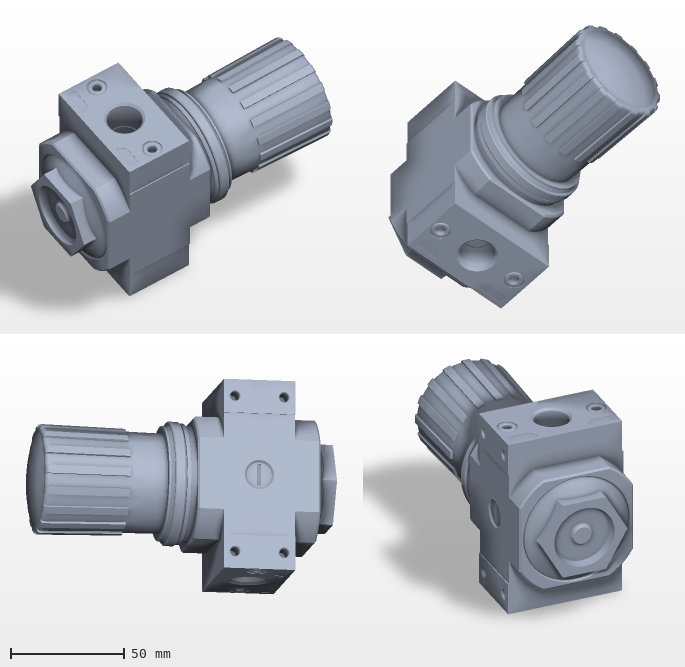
import cadquery as cq
import math


body_width = 55.0
body_half = body_width / 2
band_half = 16.0
corner_radius = math.hypot(body_half, band_half)
end_chamfer = 0.8
port_diameter = 14.95

neck_radius = 25.9
flange_radius = 26.8
flange_start = 30.4
flange_end = 32.1
ring_radius = body_half
ring_start = 32.7
ring_end = 37.4
ring_chamfer = 0.4
cone_base_radius = 26.2
cone_top_radius = 24.8
cone_top = 39.2
lip_radius = 25.5
collar_end = 40.0

cap_radius = 50.16 / 2
cap_seat = -20.0
cap_gap = 0.5
cap_gap_depth = 1.5
cap_mouth_chamfer = 0.4
cap_rim = -26.9
cap_slope = math.radians(30)
cone_overlap = 2.0
hex_flats = 36.0
hex_end = -36.0
hex_start = -28.0
recess_diameter = 29.0
recess_floor_diameter = 26.4
recess_wall = 1.0
recess_fillet = 3.0
pin_base_diameter = 11.45
pin_diameter = 9.6
pin_top_diameter = 8.2

plug_diameter = 11.45
plug_mouth_diameter = 13.16
plug_length = 6.0
plug_slot_width = 1.8
plug_slot_length = 9.6
plug_slot_depth = 1.0

plate_thickness = 15.0
plate_offset = -0.5
plate_top = body_half + plate_thickness
plate_left = plate_offset - body_half
plate_port_diameter = 16.0
plate_port_chamfer = 1.1
side_hole_diameter = 4.13
side_hole_mouth = 5.0
side_hole_depth = 10.0
side_hole_y = 11.0
side_hole_z = 35.0
label_top = -9.1
label_shoulder = -12.0
label_bottom = -13.6
label_inner = 12.5
label_slant = 2.5
label_depth = 0.2
label_fillet = 0.6
label_outer = {-1: 25.6, 1: 24.6}

screw_x = 21.5
screw_head_diameter = 8.5
screw_head_chamfer = 0.5
screw_recess_diameter = 9.2
screw_head_height = 5.0
screw_recess_gap_depth = 0.5
screw_shank_diameter = 6.3
screw_grip = 8.0
socket_mouth_diameter = 5.0
socket_diameter = 4.13
socket_depth = 4.5
socket_tip_depth = 1.2

rib_count = 16
rib_width = 3.7
rib_start = 56.9
rib_start_radius = 23.75
knob_shoulder = 95.2
rib_end_radius = 24.6
grip_end_radius = 23.6
shoulder_fillet = 1.6
knob_neck_radius = 22.1
dome_radius = 20.8
knob_end = 99.0


def revolved(points):
    """Solid of revolution about Y from (radius, y) points that start and end on the axis."""
    return cq.Workplane("XY").polyline(points).close().revolve(360, (0, 0, 0), (0, 1, 0))


def disc(radius, y_from, y_to):
    """Cylinder on the main axis between two Y levels."""
    return revolved([(0, y_from), (radius, y_from), (radius, y_to), (0, y_to)])


def vertical_stack(points, x):
    """Solid of revolution about a vertical line at the given X, from (radius, z) points."""
    return (
        cq.Workplane("XZ")
        .polyline(points)
        .close()
        .revolve(360, (0, 0, 0), (0, 1, 0))
        .translate((x, 0, 0))
    )


def from_left(points, y, z, face_x):
    """Solid of revolution about an X line, from (depth, radius) points counted from face_x."""
    return (
        cq.Workplane("XY")
        .polyline(points)
        .close()
        .revolve(360, (0, 0, 0), (1, 0, 0))
        .translate((face_x, y, z))
    )


def screw_profile(clearance=0.0):
    """Half section of a screw or, with clearance, of the hole that holds it, wider at its rim."""
    head = screw_head_diameter / 2
    shank = screw_shank_diameter / 2
    seat = plate_top - screw_head_height
    tip = body_half - screw_grip
    outline = [(0, tip), (shank, tip), (shank, seat), (head, seat)]
    if clearance:
        ledge = plate_top - screw_recess_gap_depth
        outline += [(head, ledge), (head + clearance, ledge), (head + clearance, plate_top)]
    else:
        chamfer = screw_head_chamfer
        outline += [(head, plate_top - chamfer), (head - chamfer, plate_top)]
    return outline + [(0, plate_top)]


def make_screw_hole(x):
    return vertical_stack(screw_profile((screw_recess_diameter - screw_head_diameter) / 2), x)


def make_screw(x):
    mouth_chamfer = (socket_mouth_diameter - socket_diameter) / 2
    socket_floor = plate_top - socket_depth
    socket = vertical_stack(
        [
            (0, socket_floor - socket_tip_depth),
            (socket_diameter / 2, socket_floor),
            (socket_diameter / 2, plate_top - mouth_chamfer),
            (socket_mouth_diameter / 2, plate_top),
            (0, plate_top),
        ],
        x,
    )
    return vertical_stack(screw_profile(), x).cut(socket)


def mirrored_down(shape):
    return shape.mirror("XY")


def make_plug_solid():
    """Round plug without its slot, sunk to the bottom of the chamfer around it."""
    mouth = (plug_mouth_diameter - plug_diameter) / 2
    radius = plug_diameter / 2
    profile = [(mouth, 0), (mouth, radius), (plug_length, radius), (plug_length, 0)]
    return from_left(profile, 0, 0, -body_half)


def make_plug():
    face_x = -body_half + (plug_mouth_diameter - plug_diameter) / 2
    slot = cq.Workplane("XY").box(2 * plug_slot_depth, plug_slot_width, plug_slot_length)
    return make_plug_solid().cut(slot.translate((face_x, 0, 0)))


def make_plug_mouth():
    """Chamfer that opens the plug hole at the housing face."""
    mouth = (plug_mouth_diameter - plug_diameter) / 2
    profile = [(0, 0), (0, plug_mouth_diameter / 2), (mouth, plug_diameter / 2), (mouth, 0)]
    return from_left(profile, 0, 0, -body_half)


def make_collar():
    return revolved(
        [
            (0, 0),
            (neck_radius, 0),
            (neck_radius, flange_start),
            (flange_radius, flange_start),
            (flange_radius, flange_end),
            (neck_radius, flange_end),
            (neck_radius, ring_start),
            (ring_radius - ring_chamfer, ring_start),
            (ring_radius, ring_start + ring_chamfer),
            (ring_radius, ring_end - ring_chamfer),
            (ring_radius - ring_chamfer, ring_end),
            (cone_base_radius, ring_end),
            (cone_top_radius, cone_top),
            (lip_radius, cone_top),
            (lip_radius, collar_end),
            (0, collar_end),
        ]
    )


def make_cap_blank():
    """Disc, cone and hexagon of the cap, without the details of its end face."""
    cone_end_radius = hex_flats / 2 - cone_overlap
    cone_end = cap_rim - (cap_radius - cone_end_radius) * math.tan(cap_slope)
    dome = revolved(
        [
            (0, cap_seat),
            (cap_radius, cap_seat),
            (cap_radius, cap_rim),
            (cone_end_radius, cone_end),
            (0, cone_end),
        ]
    )
    hexagon = (
        cq.Workplane("XZ")
        .workplane(offset=-hex_start)
        .polygon(6, hex_flats / math.cos(math.pi / 6))
        .extrude(hex_start - hex_end)
    )
    return dome.union(hexagon)


def make_cap():
    wall_radius = recess_diameter / 2
    floor_radius = recess_floor_diameter / 2
    wall_end = hex_end + recess_wall
    arc_center = wall_radius - recess_fillet
    arc_end_angle = math.acos((floor_radius - arc_center) / recess_fillet)
    floor = wall_end + recess_fillet * math.sin(arc_end_angle)
    arc_middle = (
        arc_center + recess_fillet * math.cos(arc_end_angle / 2),
        wall_end + recess_fillet * math.sin(arc_end_angle / 2),
    )

    pin_base_radius = pin_base_diameter / 2
    pin_radius = pin_diameter / 2
    pin_fillet = pin_base_radius - pin_radius
    pin_chamfer = (pin_diameter - pin_top_diameter) / 2
    shoulder = floor - pin_fillet
    pin_top = shoulder - pin_chamfer
    fillet_middle = (
        pin_base_radius - pin_fillet * math.sin(math.pi / 4),
        shoulder + pin_fillet * math.sin(math.pi / 4),
    )
    recess = (
        cq.Workplane("XY")
        .moveTo(0, hex_end)
        .lineTo(wall_radius, hex_end)
        .lineTo(wall_radius, wall_end)
        .threePointArc(arc_middle, (floor_radius, floor))
        .lineTo(pin_base_radius, floor)
        .threePointArc(fillet_middle, (pin_radius, shoulder))
        .lineTo(pin_top_diameter / 2, pin_top)
        .lineTo(0, pin_top)
        .close()
        .revolve(360, (0, 0, 0), (0, 1, 0))
    )
    return make_cap_blank().cut(recess)


def make_housing():
    core = cq.Workplane("XY").box(body_width, body_width, body_width)
    rounding = disc(corner_radius, -body_half, body_half)
    ends = core.faces("<Y or >Y").chamfer(end_chamfer).intersect(
        rounding.faces("<Y or >Y").chamfer(end_chamfer)
    )
    band = cq.Workplane("XY").box(body_width, 2 * band_half, body_width)
    housing = ends.union(band).union(make_collar())

    gap_floor = -body_half + cap_gap_depth
    gap_radius = cap_radius + cap_gap
    cap_recess = revolved(
        [
            (0, cap_seat),
            (cap_radius, cap_seat),
            (cap_radius, gap_floor),
            (gap_radius, gap_floor),
            (gap_radius, -body_half + cap_mouth_chamfer),
            (gap_radius + cap_mouth_chamfer, -body_half),
            (0, -body_half),
        ]
    )
    port = cq.Workplane("XY").circle(port_diameter / 2).extrude(body_half, both=True)
    housing = housing.cut(cap_recess).cut(port).cut(make_plug_solid()).cut(make_plug_mouth())
    for x in (-screw_x, screw_x):
        hole = make_screw_hole(x)
        housing = housing.cut(hole).cut(mirrored_down(hole))
    return housing


def make_label(side):
    """Shallow five-sided panel, slanted at its inner end."""
    outer = label_outer[side]
    corners = [
        (outer, label_top),
        (label_inner + label_slant, label_top),
        (label_inner, label_shoulder),
        (label_inner, label_bottom),
        (outer, label_bottom),
    ]
    return (
        cq.Workplane("XY")
        .workplane(offset=plate_top - label_depth)
        .polyline([(side * x, y) for x, y in corners])
        .close()
        .extrude(label_depth)
        .edges("|Z")
        .fillet(label_fillet)
    )


def make_side_hole(y):
    radius = side_hole_diameter / 2
    mouth_radius = side_hole_mouth / 2
    profile = [
        (0, 0),
        (0, mouth_radius),
        (mouth_radius - radius, radius),
        (side_hole_depth, radius),
        (side_hole_depth, 0),
    ]
    return from_left(profile, y, side_hole_z, plate_left)


def make_plate():
    plate = (
        cq.Workplane("XY")
        .workplane(offset=body_half)
        .center(plate_offset, 0)
        .rect(body_width, 2 * band_half)
        .extrude(plate_thickness)
    )
    port_radius = plate_port_diameter / 2
    port = vertical_stack(
        [
            (0, body_half),
            (port_radius, body_half),
            (port_radius, plate_top - plate_port_chamfer),
            (port_radius + plate_port_chamfer, plate_top),
            (0, plate_top),
        ],
        0,
    )
    plate = plate.cut(port)
    for side in (-1, 1):
        plate = plate.cut(make_screw_hole(side * screw_x))
        plate = plate.cut(make_side_hole(side * side_hole_y))
        plate = plate.cut(make_label(side))
    return plate


def make_knob():
    grip = revolved(
        [
            (0, collar_end),
            (knob_neck_radius, collar_end),
            (grip_end_radius, knob_shoulder),
            (0, knob_shoulder),
        ]
    )
    grip = grip.faces(">Y").edges().fillet(shoulder_fillet)
    sagitta = knob_end - knob_shoulder
    sphere_radius = (dome_radius**2 + sagitta**2) / (2 * sagitta)
    half_angle = math.asin(dome_radius / sphere_radius) / 2
    arc_middle = (
        sphere_radius * math.sin(half_angle),
        knob_end - sphere_radius * (1 - math.cos(half_angle)),
    )
    dome = (
        cq.Workplane("XY")
        .moveTo(0, knob_shoulder)
        .lineTo(dome_radius, knob_shoulder)
        .threePointArc(arc_middle, (0, knob_end))
        .close()
        .revolve(360, (0, 0, 0), (0, 1, 0))
    )
    knob = grip.union(dome)

    envelope = revolved(
        [
            (0, rib_start),
            (rib_start_radius, rib_start),
            (rib_end_radius, knob_shoulder),
            (0, knob_shoulder),
        ]
    )
    envelope = envelope.faces(">Y").edges().fillet(shoulder_fillet)
    bar_inner = dome_radius
    bar_outer = rib_end_radius
    bar_height = bar_outer - bar_inner
    bar_length = knob_shoulder - rib_start
    bar = cq.Workplane("XY").box(bar_height, bar_length, rib_width, centered=(False, False, True))
    rib = bar.translate((bar_inner, rib_start, 0)).intersect(envelope)
    for index in range(rib_count):
        knob = knob.union(rib.rotate((0, 0, 0), (0, 1, 0), index * 360 / rib_count))
    return knob


housing = make_housing()
cap = make_cap()
plug = make_plug()
knob = make_knob()
top_plate = make_plate()
plates = [top_plate, mirrored_down(top_plate)]
screws = []
for x in (-screw_x, screw_x):
    screw = make_screw(x)
    screws += [screw, mirrored_down(screw)]

bodies = [housing, cap, plug, knob, *plates, *screws]
result = cq.Compound.makeCompound([solid for body in bodies for solid in body.solids().vals()])